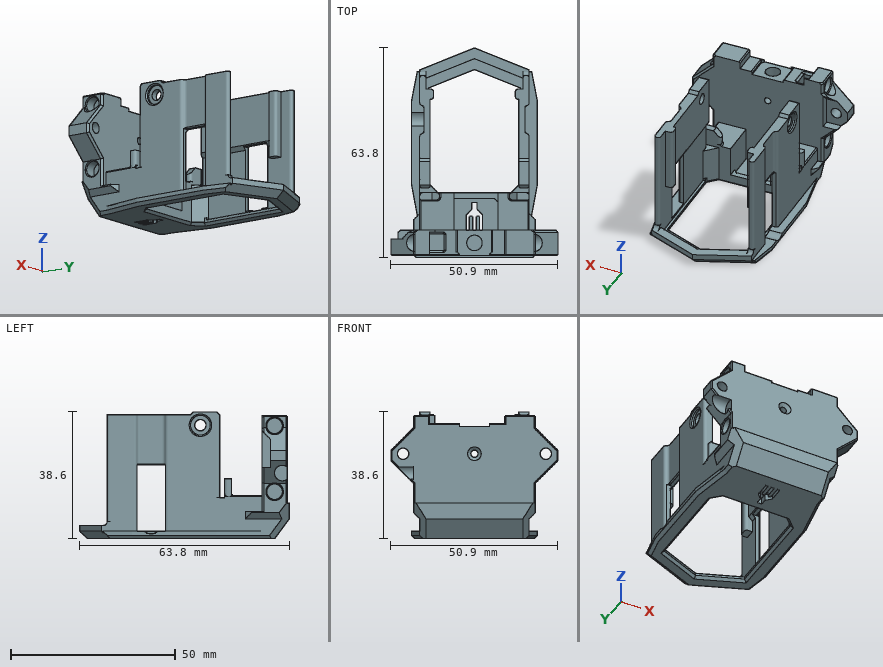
import cadquery as cq

TOTAL_DEPTH = 63.8
TOTAL_WIDTH = 50.85
OVERSIZE = 127.6

FRAME_HALF_WIDTH = 19.15
FRAME_TOP = 2.3
FRAME_EDGE_CHAMFER = 1.0
FRAME_FRONT = 8.8
FRAME_WIDE_FRONT = 22.15
FRAME_WIDE_REAR = 47.7
FRAME_REAR = 56.6
FRAME_REAR_HALF_WIDTH = 17.4
NOSE_TOP = 4.1
NOSE_CHAMFER = 2.3
NOSE_SHOULDER_Y = 57.1
NOSE_LIP_WIDTH = 3.3
LEDGE_TOP = 1.65
OPENING_HALF_WIDTH = 13.9
OPENING_CHAMFER = 0.8
NOTCH_DIAMETER = 6.0
NOTCH_Y = 42.05
NOTCH_BOTTOM = 1.45

BODY_HALF_WIDTH = 16.65
BODY_TOP = 13.2
BODY_REAR = 19.8
BODY_EDGE_CHAMFER = 0.4
GUSSET_TOP = 12.5
GUSSET_REAR = 23.35
OPENING_FRONT_HALF_WIDTH = 11.1
CHIN_LOW = 6.05
CHIN_HIGH = 10.85
CHIN_BOTTOM_Y = 4.45
CHIN_HALF_WIDTH_LOW = 14.75
CHIN_HALF_WIDTH_HIGH = 17.75
BEVEL_SLOPE = 1.2
CHANNEL_LEFT = -6.2
CHANNEL_RIGHT = 7.2
CHANNEL_SILL_DEPTH = 1.8
CHANNEL_SILL_HEIGHT = 1.3
CHANNEL_CORNER = 1.15

SLOT_HALF_WIDTH = 2.4
SLOT_SHOULDER_Y = 13.0
SLOT_NECK_HALF_WIDTH = 0.75
SLOT_NECK_Y = 14.75
SLOT_END_Y = 16.7
PRONG_INNER = 0.5
PRONG_OUTER = 1.6
PRONG_END_Y = 12.7
PRONG_TIP_CHAMFER = 0.4

PLATE_FRONT = 0.65
PLATE_REAR = 8.35
PLATE_HALF_WIDTH = 18.5
PLATE_TOP = 37.5
PLATE_MID_TOP = 35.1
PLATE_SADDLE_TOP = 34.15
PLATE_EDGE_CHAMFER = 0.4
PLATE_REAR_CHAMFER = 0.65
WING_TIP = TOTAL_WIDTH / 2
WING_TIP_LOW = 23.75
WING_TIP_HIGH = 26.85
WING_ROOT_LOW = 16.85
WING_ROOT_HIGH = 33.75
SADDLE_HALF_WIDTH = 5.2
SADDLE_MOUTH_HALF_WIDTH = 4.5
SADDLE_MOUTH_DEPTH = 1.0
LEFT_HORN_END = -13.6
RIGHT_HORN_END = 9.2
WIRE_TAB_END = -12.05
WIRE_TAB_FRONT = 7.45
WIRE_POCKET_END = -9.3
WIRE_POCKET_FRONT = 2.2
WIRE_POCKET_REAR = 7.2
WIRE_POCKET_FLOOR = 31.25
WIRE_POCKET_FLARE = 0.65
SCREW_Z = 25.85
WING_HOLE_X = 21.7
WING_HOLE_DIAMETER = 3.4
CENTRE_HOLE_DIAMETER = 2.1
CENTRE_SINK_DIAMETER = 4.15
MAGNET_DIAMETER = 4.7
MAGNET_DEPTH = 3.8
MAGNET_LEAD_IN = 0.3
MAGNET_Y = (PLATE_FRONT + PLATE_REAR) / 2
MAGNET_HEIGHTS = (14.3, 34.3)
RELIEF_Y = 2.2
RELIEF_Z = 20.0
WING_POCKET_Y = 5.75
WING_POCKET_FLOOR = 21.6
WING_POCKET_RAMP_Z = 30.25

RAIL_TOP = 8.35
RAIL_REAR = 13.4

WALL_INNER = 13.45
WALL_THIN_INNER = 14.75
WALL_FRONT = 21.1
WALL_REAR = 55.45
WALL_TOP = 37.7
WALL_EAR_TOP = 38.6
WALL_EDGE_RADIUS = 0.9
WALL_FOOT_RADIUS = 1.15
WALL_STEP_LOW = 21.4
WALL_STEP_HIGH = 22.7
WINDOW_FRONT = 37.7
WINDOW_REAR = 46.25
WINDOW_TOP = 22.4
RECESS_FACE = 15.4
RECESS_BLEND = 0.95
WINDOW_LINTEL_CHAMFER = 0.4
BEAD_FACE = 12.4
BEAD_FRONT = 48.1
BEAD_REAR = 51.3
BEAD_BOTTOM = 17.2
BEAD_RADIUS = 0.95
EAR_REAR = 30.1
EAR_CHAMFER = 1.0
PIVOT_Y = 27.05
PIVOT_Z = 34.5
PIVOT_DIAMETER = 3.4
PIVOT_BORE_DIAMETER = 6.0
PIVOT_BORE_DEPTH = 1.0
PIVOT_LEAD_IN = 0.415

POST_FRONT = 17.55
POST_TOP = 18.25
POST_TOP_INNER = 12.9
POST_INNER = 10.6
POST_END_RADIUS = 1.0
POST_FOOT_CHAMFER = 0.4
POST_REAR_RADIUS = 1.1
POST_OUTER_RADIUS = 0.6


def prism_z(points, bottom, top):
    """Plan outline extruded from bottom to top."""
    return cq.Workplane("XY").workplane(offset=bottom).polyline(points).close().extrude(top - bottom)


def prism_y(points, front, rear):
    """(x, z) outline extruded from front to rear."""
    return cq.Workplane("XZ", origin=(0, front, 0)).polyline(points).close().extrude(front - rear)


def prism_x(points, left, right):
    """(y, z) outline extruded from left to right."""
    return cq.Workplane("YZ", origin=(left, 0, 0)).polyline(points).close().extrude(right - left)


def box(x_range, y_range, z_range):
    """Box given by its limits on each axis."""
    size = [high - low for low, high in (x_range, y_range, z_range)]
    return cq.Workplane("XY", origin=(x_range[0], y_range[0], z_range[0])).box(*size, centered=False)


def cylinder(start, direction, diameter, length):
    """Cylinder from a start point along a direction."""
    return cq.Workplane(cq.Solid.makeCylinder(diameter / 2, length, cq.Vector(*start), cq.Vector(*direction)))


def cone(start, direction, start_diameter, end_diameter, length):
    """Cone from a start point along a direction."""
    solid = cq.Solid.makeCone(
        start_diameter / 2, end_diameter / 2, length, cq.Vector(*start), cq.Vector(*direction)
    )
    return cq.Workplane(solid)


def symmetric(points):
    """Close a right-hand outline with its mirror image about x = 0."""
    return points + [(-x, v) for x, v in reversed(points) if x != 0]


def both_sides(right_hand):
    """A right-hand solid together with its mirror image."""
    return right_hand.union(right_hand.mirror("YZ"))


def make_frame():
    outline = symmetric([
        (BODY_HALF_WIDTH, 0),
        (BODY_HALF_WIDTH, FRAME_FRONT),
        (FRAME_HALF_WIDTH, FRAME_WIDE_FRONT),
        (FRAME_HALF_WIDTH, FRAME_WIDE_REAR),
        (FRAME_REAR_HALF_WIDTH, FRAME_REAR),
        (BODY_HALF_WIDTH, FRAME_REAR),
    ])
    frame = prism_z(outline, 0, FRAME_TOP).faces("<Z").edges("not #Y").chamfer(FRAME_EDGE_CHAMFER)
    lip_slope = (TOTAL_DEPTH - NOSE_SHOULDER_Y) / BODY_HALF_WIDTH

    def nose_line(x, inset):
        """Y of a line parallel to the pointed rear side, moved forward by inset."""
        return TOTAL_DEPTH - inset - lip_slope * abs(x)

    envelope = prism_z(
        symmetric([
            (2 * FRAME_HALF_WIDTH, 0),
            (2 * FRAME_HALF_WIDTH, nose_line(2 * FRAME_HALF_WIDTH, 0)),
            (0, TOTAL_DEPTH),
        ]),
        0, NOSE_TOP,
    )
    rear_edges = cq.selectors.BoxSelector(
        (-1.5 * FRAME_HALF_WIDTH, WINDOW_REAR, -0.65), (1.5 * FRAME_HALF_WIDTH, TOTAL_DEPTH, 0.65)
    )
    envelope = envelope.edges(rear_edges).chamfer(NOSE_CHAMFER)
    nose = box((-BODY_HALF_WIDTH, BODY_HALF_WIDTH), (BEAD_REAR, TOTAL_DEPTH), (0, NOSE_TOP))
    frame = frame.union(nose).intersect(envelope)

    ledge = symmetric([
        (WALL_THIN_INNER, GUSSET_REAR),
        (WALL_THIN_INNER, nose_line(WALL_THIN_INNER, NOSE_LIP_WIDTH)),
        (0, nose_line(0, NOSE_LIP_WIDTH)),
    ])
    opening = symmetric([
        (OPENING_FRONT_HALF_WIDTH, BODY_REAR),
        (OPENING_HALF_WIDTH, GUSSET_REAR - (WALL_THIN_INNER - OPENING_HALF_WIDTH)),
        (OPENING_HALF_WIDTH, nose_line(OPENING_HALF_WIDTH, 2 * NOSE_LIP_WIDTH)),
        (0, nose_line(0, 2 * NOSE_LIP_WIDTH)),
    ])
    underside_flare = (
        cq.Workplane("XY").polyline(opening).close()
        .offset2D(OPENING_CHAMFER, "intersection").extrude(OPENING_CHAMFER, taper=45)
    )
    frame = frame.cut(prism_z(ledge, LEDGE_TOP, OVERSIZE))
    return frame.cut(prism_z(opening, 0, OVERSIZE)).cut(underside_flare)


def make_frame_notch():
    """Shallow round notch across the left side of the frame, below the window."""
    start = (-FRAME_HALF_WIDTH, NOTCH_Y, NOTCH_BOTTOM + NOTCH_DIAMETER / 2)
    return cylinder(start, (1, 0, 0), NOTCH_DIAMETER, FRAME_HALF_WIDTH - WALL_THIN_INNER)


def make_body():
    outline = symmetric([
        (BODY_HALF_WIDTH, 0),
        (BODY_HALF_WIDTH, GUSSET_REAR),
        (WALL_THIN_INNER, GUSSET_REAR),
        (OPENING_FRONT_HALF_WIDTH, BODY_REAR),
    ])
    body = prism_z(outline, FRAME_EDGE_CHAMFER, BODY_TOP)
    body = body.faces(">Z").edges("|Y").chamfer(BODY_EDGE_CHAMFER)
    body = body.cut(box((-OVERSIZE, OVERSIZE), (BODY_REAR, OVERSIZE), (GUSSET_TOP, OVERSIZE)))
    return body.cut(box((-OVERSIZE, OVERSIZE), (0, PLATE_FRONT), (CHIN_HIGH, OVERSIZE)))


def make_channel():
    """Open channel between the posts with a low sill across its rear end."""
    channel = box((CHANNEL_LEFT, CHANNEL_RIGHT), (PLATE_REAR, BODY_REAR + 0.65), (FRAME_TOP, OVERSIZE))
    sill_front = BODY_REAR - CHANNEL_SILL_DEPTH
    sill = prism_z(
        [
            (CHANNEL_LEFT, sill_front),
            (CHANNEL_RIGHT - CHANNEL_CORNER, sill_front),
            (CHANNEL_RIGHT, sill_front - CHANNEL_CORNER),
            (CHANNEL_RIGHT, BODY_REAR),
            (CHANNEL_LEFT, BODY_REAR),
        ],
        FRAME_TOP,
        FRAME_TOP + CHANNEL_SILL_HEIGHT,
    )
    return channel.cut(sill)


def make_fork_slot():
    """Bottle-shaped slot through the channel floor, with two pointed prongs left in it."""
    slot_outline = symmetric([
        (SLOT_HALF_WIDTH, PLATE_REAR),
        (SLOT_HALF_WIDTH, SLOT_SHOULDER_Y),
        (SLOT_NECK_HALF_WIDTH, SLOT_NECK_Y),
        (SLOT_NECK_HALF_WIDTH, SLOT_END_Y),
    ])
    slot = prism_z(slot_outline, 0, FRAME_TOP)
    prong = box((PRONG_INNER, PRONG_OUTER), (PLATE_REAR, PRONG_END_Y), (0, FRAME_TOP))
    prong = prong.edges("|Z and >Y").chamfer(PRONG_TIP_CHAMFER)
    return slot.cut(both_sides(prong))


def make_rail():
    """Right-hand rail, undercut and cut off at 45 degrees."""
    reach = PLATE_HALF_WIDTH - BODY_HALF_WIDTH
    section = [
        (0, CHIN_LOW),
        (BODY_HALF_WIDTH, CHIN_LOW),
        (PLATE_HALF_WIDTH, CHIN_LOW + reach),
        (PLATE_HALF_WIDTH, RAIL_TOP),
        (0, RAIL_TOP),
    ]
    plan = [
        (0, 0),
        (PLATE_HALF_WIDTH, 0),
        (PLATE_HALF_WIDTH, RAIL_REAR - reach),
        (BODY_HALF_WIDTH, RAIL_REAR),
        (0, RAIL_REAR),
    ]
    return prism_y(section, 0, RAIL_REAR).intersect(prism_z(plan, 0, RAIL_TOP))


def make_post():
    """Right-hand post with a sloped inner side and a rounded inner end."""
    section = [
        (POST_INNER, BODY_TOP - 0.65),
        (BODY_HALF_WIDTH, BODY_TOP - 0.65),
        (BODY_HALF_WIDTH, POST_TOP),
        (POST_TOP_INNER, POST_TOP),
        (POST_INNER, POST_TOP - (POST_TOP_INNER - POST_INNER)),
    ]
    post = prism_y(section, POST_FRONT, BODY_REAR)
    rounded = box((POST_INNER, BODY_HALF_WIDTH), (POST_FRONT, BODY_REAR), (0, POST_TOP))
    rounded = rounded.edges("|Z and <X").fillet(POST_END_RADIUS)
    rounded = rounded.edges("|Z and >X and >Y").fillet(POST_REAR_RADIUS)
    rounded = rounded.edges("|Z and >X").edges("<Y").fillet(POST_OUTER_RADIUS)
    return post.intersect(rounded)


def make_post_foot():
    """Sloped skirt around the front and inner end of the right-hand post."""
    skirt = POST_FOOT_CHAMFER
    foot = box(
        (POST_INNER - skirt, BODY_HALF_WIDTH - BODY_EDGE_CHAMFER),
        (POST_FRONT - skirt, BODY_REAR),
        (BODY_TOP - skirt, BODY_TOP + skirt),
    )
    foot = foot.edges("|Z and <X and <Y").fillet(POST_END_RADIUS + skirt)
    return foot.faces(">Z").edges("not (>X or >Y)").chamfer(skirt)


def make_plate():
    outline = [
        (PLATE_HALF_WIDTH - PLATE_EDGE_CHAMFER, PLATE_TOP),
        (PLATE_HALF_WIDTH, PLATE_TOP - PLATE_EDGE_CHAMFER),
        (PLATE_HALF_WIDTH, WING_ROOT_HIGH),
        (WING_TIP, WING_TIP_HIGH),
        (WING_TIP, WING_TIP_LOW),
        (PLATE_HALF_WIDTH, WING_ROOT_LOW),
        (PLATE_HALF_WIDTH, RAIL_TOP),
    ]
    plate = prism_y(symmetric(outline), PLATE_FRONT, PLATE_REAR)
    plate = plate.faces(">Y").edges("not |X").chamfer(PLATE_REAR_CHAMFER)
    steps = [
        (LEFT_HORN_END, OVERSIZE),
        (LEFT_HORN_END, PLATE_MID_TOP),
        (RIGHT_HORN_END, PLATE_MID_TOP),
        (RIGHT_HORN_END, PLATE_TOP - PLATE_EDGE_CHAMFER),
        (RIGHT_HORN_END + PLATE_EDGE_CHAMFER, PLATE_TOP),
        (RIGHT_HORN_END + PLATE_EDGE_CHAMFER, OVERSIZE),
    ]
    plate = plate.cut(prism_y(steps, 0, OVERSIZE))
    plate = plate.faces("<Y").edges("not <Z").chamfer(PLATE_EDGE_CHAMFER)
    wire_tab = box(
        (LEFT_HORN_END, WIRE_TAB_END), (WIRE_TAB_FRONT, PLATE_REAR), (WIRE_POCKET_FLOOR, PLATE_TOP)
    )
    return plate.union(wire_tab).cut(make_wire_pocket()).cut(make_saddle())


def make_saddle():
    """Lowered middle of the plate top: chamfered sides, narrower through the front face."""
    half = SADDLE_HALF_WIDTH
    mouth = SADDLE_MOUTH_HALF_WIDTH
    throat_y = PLATE_FRONT + SADDLE_MOUTH_DEPTH
    plan = symmetric([
        (mouth, 0),
        (mouth, throat_y - (half - mouth)),
        (half, throat_y),
        (half, PLATE_REAR),
    ])
    saddle = prism_z(plan, PLATE_SADDLE_TOP, PLATE_TOP)
    bevel = [
        (half, PLATE_MID_TOP - PLATE_EDGE_CHAMFER),
        (half + PLATE_EDGE_CHAMFER, PLATE_MID_TOP),
        (0, PLATE_MID_TOP),
        (0, PLATE_MID_TOP - PLATE_EDGE_CHAMFER),
    ]
    return saddle.union(both_sides(prism_y(bevel, throat_y, PLATE_REAR)))


def make_wire_pocket():
    """Pocket beside the left horn, flared at its mouth."""
    flare = WIRE_POCKET_FLARE
    pocket = box(
        (LEFT_HORN_END, WIRE_POCKET_END),
        (WIRE_POCKET_FRONT, WIRE_POCKET_REAR),
        (WIRE_POCKET_FLOOR, PLATE_MID_TOP),
    )
    mouth = box(
        (LEFT_HORN_END, WIRE_POCKET_END + flare),
        (WIRE_POCKET_FRONT - flare, WIRE_POCKET_REAR + flare),
        (PLATE_MID_TOP - flare, PLATE_TOP),
    )
    mouth = mouth.edges("|Z and >X").chamfer(flare)
    return pocket.union(mouth.faces("<Z").edges("not <X").chamfer(flare))


def make_wing_pocket():
    """Relief behind the left wing, with a 45 degree roof."""
    depth = PLATE_REAR - WING_POCKET_Y
    section = [
        (WING_POCKET_Y, WING_POCKET_FLOOR),
        (WING_POCKET_Y, WING_POCKET_RAMP_Z),
        (PLATE_REAR, WING_POCKET_RAMP_Z + depth),
        (PLATE_REAR, WING_POCKET_FLOOR),
    ]
    return prism_x(section, -WING_TIP, -PLATE_HALF_WIDTH)


def make_plate_holes():
    centre = (0, PLATE_FRONT, SCREW_Z)
    sink_depth = (CENTRE_SINK_DIAMETER - CENTRE_HOLE_DIAMETER) / 2
    holes = cylinder(centre, (0, 1, 0), CENTRE_HOLE_DIAMETER, PLATE_REAR)
    holes = holes.union(cone(centre, (0, 1, 0), CENTRE_SINK_DIAMETER, CENTRE_HOLE_DIAMETER, sink_depth))
    saddle_bottom = (0, MAGNET_Y, PLATE_SADDLE_TOP - MAGNET_DEPTH)
    holes = holes.union(cylinder(saddle_bottom, (0, 0, 1), MAGNET_DIAMETER, MAGNET_DEPTH))
    for side in (-1, 1):
        wing = (side * WING_HOLE_X, 0, SCREW_Z)
        holes = holes.union(cylinder(wing, (0, 1, 0), WING_HOLE_DIAMETER, PLATE_REAR + 0.65))
        for height in MAGNET_HEIGHTS:
            bottom = (side * (PLATE_HALF_WIDTH - MAGNET_DEPTH), MAGNET_Y, height)
            mouth = (side * PLATE_HALF_WIDTH, MAGNET_Y, height)
            mouth_diameter = MAGNET_DIAMETER + 2 * MAGNET_LEAD_IN
            holes = holes.union(cylinder(bottom, (side, 0, 0), MAGNET_DIAMETER, MAGNET_DEPTH))
            holes = holes.union(cylinder(mouth, (side, 0, 0), mouth_diameter, MAGNET_DEPTH))
            holes = holes.union(
                cone(mouth, (-side, 0, 0), mouth_diameter, MAGNET_DIAMETER, MAGNET_LEAD_IN)
            )
    relief = cylinder((-PLATE_HALF_WIDTH, RELIEF_Y, RELIEF_Z), (-1, 0, 0), MAGNET_DIAMETER, WING_TIP)
    return holes.union(relief)


def triangle_loft(low_points, low_z, high_points, high_z):
    """Ruled solid between two plan triangles at different heights."""
    lower = cq.Workplane("XY", origin=(0, 0, low_z)).polyline(low_points).close()
    return lower.workplane(offset=high_z - low_z).polyline(high_points).close().loft(ruled=True)


def make_chin_cut():
    """Sloped chin under the front face and the bevels on its two corners."""
    slope = prism_x([(0, CHIN_LOW), (CHIN_BOTTOM_Y, 0), (0, 0)], -OVERSIZE, OVERSIZE)
    outer = PLATE_HALF_WIDTH + 0.65

    def corner(inner, front):
        return [(inner, front), (outer, front + BEVEL_SLOPE * (outer - inner)), (outer, front)]

    low = corner(CHIN_HALF_WIDTH_LOW, 0)
    high = corner(CHIN_HALF_WIDTH_HIGH, 0)
    bottom = corner(CHIN_HALF_WIDTH_LOW, CHIN_BOTTOM_Y)
    bevel = triangle_loft(bottom, 0, low, CHIN_LOW).union(triangle_loft(low, CHIN_LOW, high, CHIN_HIGH))
    return slope.union(both_sides(bevel))


def make_wall():
    """Right-hand wall."""
    outline = [
        (BODY_HALF_WIDTH, WALL_FRONT),
        (BODY_HALF_WIDTH, WALL_REAR),
        (WALL_THIN_INNER, WALL_REAR),
        (WALL_THIN_INNER, BEAD_REAR),
        (WALL_INNER, BEAD_REAR),
        (WALL_INNER, WALL_FRONT),
    ]
    profile = [
        (WALL_FRONT, FRAME_TOP - 0.65),
        (WALL_FRONT, WALL_EAR_TOP - EAR_CHAMFER),
        (WALL_FRONT + EAR_CHAMFER, WALL_EAR_TOP),
        (EAR_REAR - (WALL_EAR_TOP - WALL_TOP), WALL_EAR_TOP),
        (EAR_REAR, WALL_TOP),
        (WALL_REAR, WALL_TOP),
        (WALL_REAR, FRAME_TOP - 0.65),
    ]
    wall = prism_z(outline, 0, WALL_EAR_TOP)
    wall = wall.edges("|Z and (<Y or >Y)").fillet(WALL_EDGE_RADIUS)
    wall = wall.intersect(prism_x(profile, 0, OVERSIZE))
    thinning = [
        (0, 0),
        (WALL_THIN_INNER, 0),
        (WALL_THIN_INNER, WALL_STEP_LOW),
        (WALL_INNER, WALL_STEP_HIGH),
        (0, WALL_STEP_HIGH),
    ]
    wall = wall.cut(make_recess()).cut(prism_y(thinning, 0, TOTAL_DEPTH))
    wall = wall.cut(box((0, OVERSIZE), (WINDOW_FRONT, WINDOW_REAR), (FRAME_TOP, WINDOW_TOP)))
    lintel_chamfer = [
        (RECESS_FACE - WINDOW_LINTEL_CHAMFER, WINDOW_TOP),
        (RECESS_FACE, WINDOW_TOP + WINDOW_LINTEL_CHAMFER),
        (RECESS_FACE, WINDOW_TOP),
    ]
    wall = wall.cut(prism_y(lintel_chamfer, WINDOW_FRONT, WINDOW_REAR))
    bead = box((BEAD_FACE, WALL_THIN_INNER + 0.3), (BEAD_FRONT, BEAD_REAR), (BEAD_BOTTOM, WALL_TOP))
    foot_rear = WALL_REAR + WALL_FOOT_RADIUS
    foot_top = NOSE_TOP + WALL_FOOT_RADIUS
    foot = box(
        (WALL_THIN_INNER, BODY_HALF_WIDTH),
        (WALL_REAR - WALL_EDGE_RADIUS, foot_rear),
        (FRAME_TOP, foot_top),
    )
    foot = foot.cut(cylinder((0, foot_rear, foot_top), (1, 0, 0), 2 * WALL_FOOT_RADIUS, OVERSIZE))
    wall = wall.union(foot)
    return wall.union(bead.edges("|Z and <X").fillet(BEAD_RADIUS)).cut(make_pivot_hole())


def make_recess():
    """Outer recess around the right-hand window; each end is an S of two equal arcs."""
    middle = (BODY_HALF_WIDTH + RECESS_FACE) / 2
    outside = BODY_HALF_WIDTH + 0.65
    front = WINDOW_FRONT - RECESS_BLEND
    rear = WINDOW_REAR + RECESS_BLEND
    return (
        cq.Workplane("XY", origin=(0, 0, FRAME_TOP))
        .moveTo(outside, front - 0.65)
        .lineTo(BODY_HALF_WIDTH, front - 0.65)
        .lineTo(BODY_HALF_WIDTH, front)
        .tangentArcPoint((middle, WINDOW_FRONT), relative=False)
        .tangentArcPoint((RECESS_FACE, WINDOW_FRONT + RECESS_BLEND), relative=False)
        .lineTo(RECESS_FACE, WINDOW_REAR - RECESS_BLEND)
        .tangentArcPoint((middle, WINDOW_REAR), relative=False)
        .tangentArcPoint((BODY_HALF_WIDTH, rear), relative=False)
        .lineTo(outside, rear)
        .close()
        .extrude(WALL_EAR_TOP)
    )


def make_pivot_hole():
    mouth = (BODY_HALF_WIDTH, PIVOT_Y, PIVOT_Z)
    hole = cylinder(mouth, (-1, 0, 0), PIVOT_DIAMETER, BODY_HALF_WIDTH)
    hole = hole.union(cylinder(mouth, (-1, 0, 0), PIVOT_BORE_DIAMETER, PIVOT_BORE_DEPTH))
    lead_in_diameter = PIVOT_BORE_DIAMETER + 2 * PIVOT_LEAD_IN
    return hole.union(cone(mouth, (-1, 0, 0), lead_in_diameter, PIVOT_BORE_DIAMETER, PIVOT_LEAD_IN))


front = make_body().union(both_sides(make_rail())).cut(make_channel())
front = front.union(both_sides(make_post())).union(both_sides(make_post_foot()))
plate_foot = box((-PLATE_HALF_WIDTH, PLATE_HALF_WIDTH), (0, MAGNET_Y), (RAIL_TOP, CHIN_HIGH))
front = front.union(make_plate()).union(plate_foot)
front = front.cut(make_wing_pocket()).cut(make_plate_holes())
result = make_frame().union(front).union(both_sides(make_wall()))
result = result.cut(make_chin_cut()).cut(make_fork_slot()).cut(make_frame_notch()).clean()